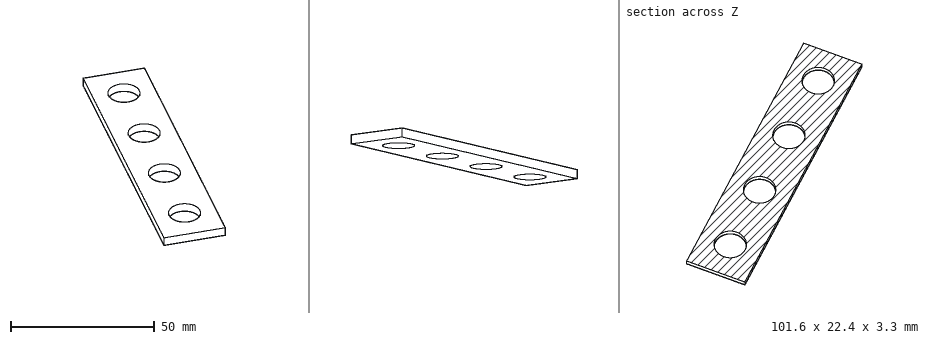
import cadquery as cq

length = 101.6
width = 22.4
thickness = 3.3

hole_count = 4
hole_diameter = width / 2
hole_pitch = length / hole_count

bar = cq.Workplane("XY").box(length, width, thickness)

result = (
    bar.faces(">Z")
    .workplane()
    .rarray(hole_pitch, width, hole_count, 1)
    .hole(hole_diameter)
)